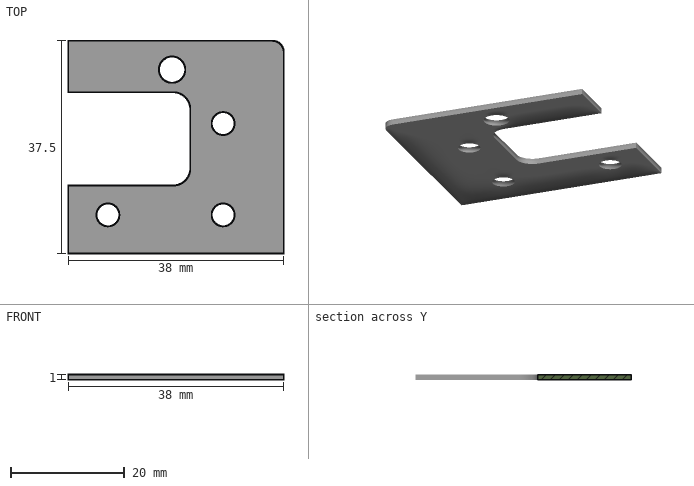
import cadquery as cq

plate_length = 38.0
plate_width = 37.5
plate_thickness = 1.0
corner_radius = 2.0

slot_depth = 21.5
slot_bottom = 12.0
slot_top = 28.4
slot_corner_radius = 3.0

small_hole_diameter = 4.0
small_hole_left = 7.0
small_hole_right = 27.3
small_hole_lower = 6.8
small_hole_upper = 22.9
small_hole_centers = [
    (small_hole_left, small_hole_lower),
    (small_hole_right, small_hole_lower),
    (small_hole_right, small_hole_upper),
]

large_hole_diameter = 4.6
large_hole_center = (18.3, 32.4)


def make_plate():
    """Flat rectangular plate with its +X +Y corner rounded."""
    plate = cq.Workplane("XY").box(plate_length, plate_width, plate_thickness, centered=False)
    return plate.edges("|Z and >X and >Y").fillet(corner_radius)


def make_slot():
    """Slot volume whose two inner corners are rounded."""
    slot = (
        cq.Workplane("XY")
        .moveTo(0, slot_bottom)
        .lineTo(slot_depth, slot_bottom)
        .lineTo(slot_depth, slot_top)
        .lineTo(0, slot_top)
        .close()
        .extrude(plate_thickness)
    )
    return slot.edges("|Z and >X").fillet(slot_corner_radius)


def make_holes(centers, diameter):
    """Round through-hole volumes at the given centers."""
    return cq.Workplane("XY").pushPoints(centers).circle(diameter / 2).extrude(plate_thickness)


result = (
    make_plate()
    .cut(make_slot())
    .cut(make_holes(small_hole_centers, small_hole_diameter))
    .cut(make_holes([large_hole_center], large_hole_diameter))
)